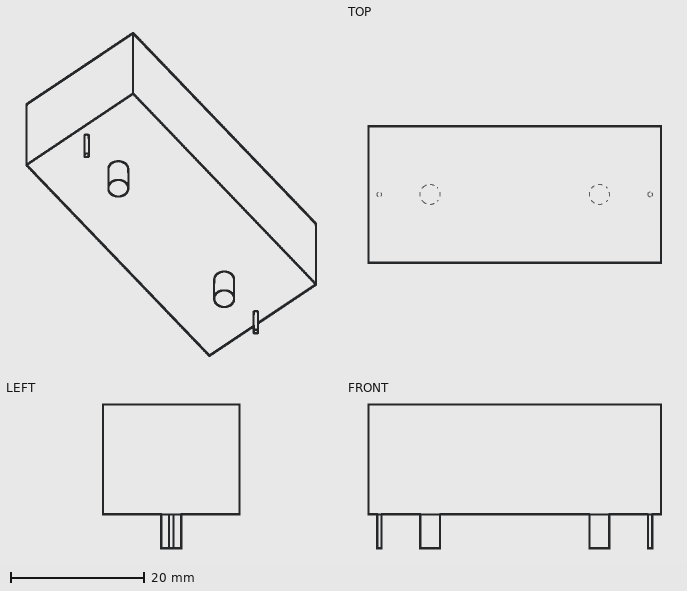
import cadquery as cq

housing_length = 43.9
housing_width = 20.5
housing_height = 16.5

overall_height = 21.6
pin_length = overall_height - housing_height
contact_diameter = 0.7
contact_spacing = 40.6
post_diameter = 3.0
post_spacing = 25.4


def make_housing():
    """Plain rectangular block resting on the plane of the pin roots."""
    return cq.Workplane("XY").box(
        housing_length, housing_width, housing_height, centered=(True, True, False)
    )


def make_pin(x, diameter):
    """Round pin hanging from the housing underside at the given X."""
    return cq.Workplane("XY").center(x, 0).circle(diameter / 2).extrude(-pin_length)


housing = make_housing()
contact_pins = [make_pin(side * contact_spacing / 2, contact_diameter) for side in (-1, 1)]
support_posts = [make_pin(side * post_spacing / 2, post_diameter) for side in (-1, 1)]

result = cq.Compound.makeCompound(
    [housing.val()]
    + [pin.val() for pin in contact_pins]
    + [post.val() for post in support_posts]
)